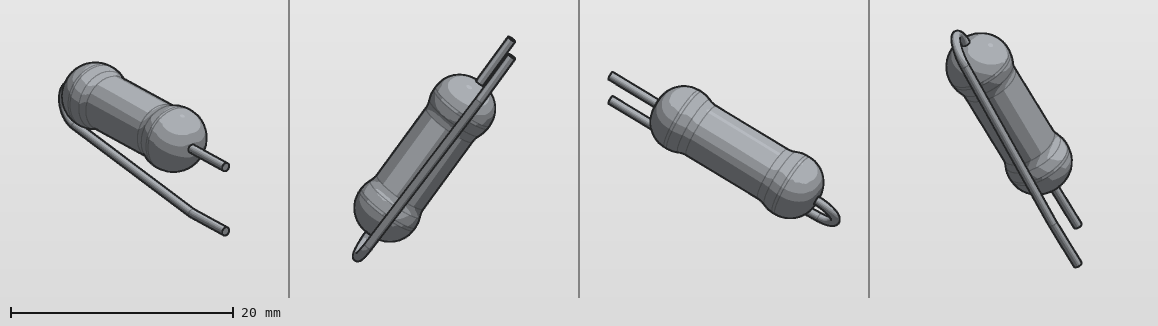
import cadquery as cq
import math

overall_length = 24.4
body_length = 17.0
wire_diameter = 0.8
bend_radius = 2.0
lead_spacing = 6.35

bulb_diameter = 6.0
waist_diameter = 5.2
crest_width = 0.3
crest_blend_length = 1.0
waist_blend_length = 0.8

wire_radius = wire_diameter / 2
bulb_radius = bulb_diameter / 2
waist_radius = waist_diameter / 2
end_round = bulb_radius - wire_radius

body_left = wire_radius + bend_radius
body_right = body_left + body_length
body_middle = (body_left + body_right) / 2


def make_body():
    """Dumbbell-shaped body of revolution with a through bore for the wire."""
    crest_outer = body_left + end_round
    crest_inner = crest_outer + crest_width
    inflection = crest_inner + crest_blend_length
    waist_start = inflection + waist_blend_length

    blend_length = crest_blend_length + waist_blend_length
    crest_drop = (bulb_radius - waist_radius) * crest_blend_length / blend_length
    inflection_radius = bulb_radius - crest_drop

    arc_middle = end_round * math.sqrt(0.5)
    arc_middle_x = crest_outer - arc_middle
    arc_middle_radius = wire_radius + arc_middle

    def mirrored(x):
        return 2 * body_middle - x

    profile = (
        cq.Workplane("XZ")
        .moveTo(body_left, wire_radius)
        .threePointArc((arc_middle_x, arc_middle_radius), (crest_outer, bulb_radius))
        .lineTo(crest_inner, bulb_radius)
        .tangentArcPoint((inflection, inflection_radius), relative=False)
        .tangentArcPoint((waist_start, waist_radius), relative=False)
        .lineTo(mirrored(waist_start), waist_radius)
        .tangentArcPoint((mirrored(inflection), inflection_radius), relative=False)
        .tangentArcPoint((mirrored(crest_inner), bulb_radius), relative=False)
        .lineTo(mirrored(crest_outer), bulb_radius)
        .threePointArc((mirrored(arc_middle_x), arc_middle_radius), (body_right, wire_radius))
        .close()
    )
    return profile.revolve(360, (0, 0, 0), (1, 0, 0))


def make_wire():
    """One round wire: through the body, around the hairpin and back below it."""
    center_drop = lead_spacing - bend_radius
    center_distance = math.hypot(body_length, center_drop)
    slope = math.atan2(center_drop, body_length) - math.asin(bend_radius / center_distance)
    tangent_x = body_left - bend_radius * math.sin(slope)
    tangent_z = -bend_radius - bend_radius * math.cos(slope)

    path = (
        cq.Workplane("XZ")
        .moveTo(overall_length, 0)
        .lineTo(body_left, 0)
        .threePointArc((body_left - bend_radius, -bend_radius), (tangent_x, tangent_z))
        .lineTo(body_right, -lead_spacing)
        .lineTo(overall_length, -lead_spacing)
    )
    section = cq.Workplane("YZ", origin=(overall_length, 0, 0)).circle(wire_radius)
    return section.sweep(path, transition="right")


body = make_body()
wire = make_wire()

result = cq.Compound.makeCompound([body.val(), wire.val()])